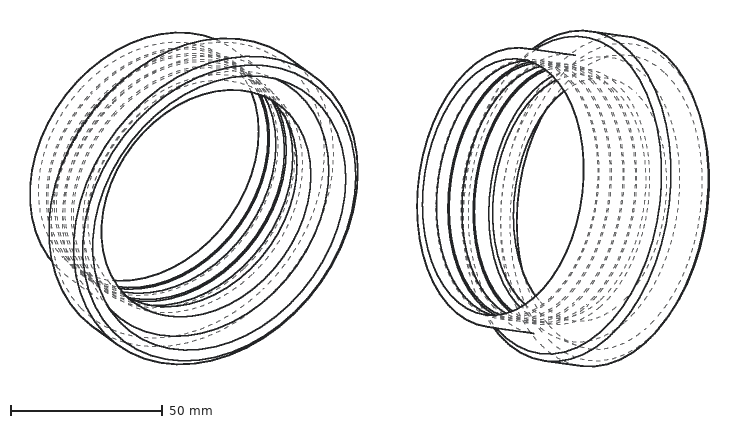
import cadquery as cq
import math

length = 45.0
flange_diameter = 110.0
sleeve_diameter = 93.0

flange_start = 24.9
face_draft = 10.0
flange_chamfer = 2.2
root_fillet = 4.0
sleeve_end_fillet = 1.4

bore_diameter = 85.2
inner_land_diameter = 85.0
groove_diameter = 86.5
groove_width = 5.3
groove_starts = (5.9, 16.6)
throat_start = 27.9
throat_diameter = 81.0
socket_floor_diameter = 94.8
socket_mouth_diameter = 97.9
socket_depth = 8.2


def disc(diameter, start, end):
    """Solid cylinder along X between two positions."""
    return cq.Workplane("YZ").workplane(offset=start).circle(diameter / 2).extrude(end - start)


def make_outside():
    """Solid stepped body, before boring."""
    sleeve_radius = sleeve_diameter / 2
    flange_radius = flange_diameter / 2
    face_top = flange_radius - flange_chamfer
    draft = math.radians(face_draft)

    arc_end_radius = sleeve_radius + root_fillet * (1 - math.sin(draft))
    arc_end = flange_start - (face_top - arc_end_radius) * math.tan(draft)
    arc_start = arc_end - root_fillet * math.cos(draft)
    half_sweep = (math.pi / 2 - draft) / 2
    arc_middle = (
        arc_start + root_fillet * math.sin(half_sweep),
        sleeve_radius + root_fillet * (1 - math.cos(half_sweep)),
    )
    body = (
        cq.Workplane("XY")
        .lineTo(0, sleeve_radius)
        .lineTo(arc_start, sleeve_radius)
        .threePointArc(arc_middle, (arc_end, arc_end_radius))
        .lineTo(flange_start, face_top)
        .lineTo(flange_start + flange_chamfer, flange_radius)
        .lineTo(length - flange_chamfer, flange_radius)
        .lineTo(length, face_top)
        .lineTo(length, 0)
        .close()
        .revolve(360, (0, 0, 0), (1, 0, 0))
    )
    return body.faces("<X").edges().fillet(sleeve_end_fillet)


def make_cavity():
    """Material removed from the inside of the ring."""
    cavity = disc(throat_diameter, 0, length)
    cavity = cavity.union(disc(bore_diameter, 0, groove_starts[0]))
    cavity = cavity.union(disc(inner_land_diameter, groove_starts[0], throat_start))
    for start in groove_starts:
        cavity = cavity.union(disc(groove_diameter, start, start + groove_width))
    return cavity.union(make_socket())


def make_socket():
    """Conical recess that widens toward the rear face."""
    socket_floor = length - socket_depth
    return (
        cq.Workplane("XY")
        .moveTo(socket_floor, 0)
        .lineTo(socket_floor, socket_floor_diameter / 2)
        .lineTo(length, socket_mouth_diameter / 2)
        .lineTo(length, 0)
        .close()
        .revolve(360, (0, 0, 0), (1, 0, 0))
    )


result = make_outside().cut(make_cavity())